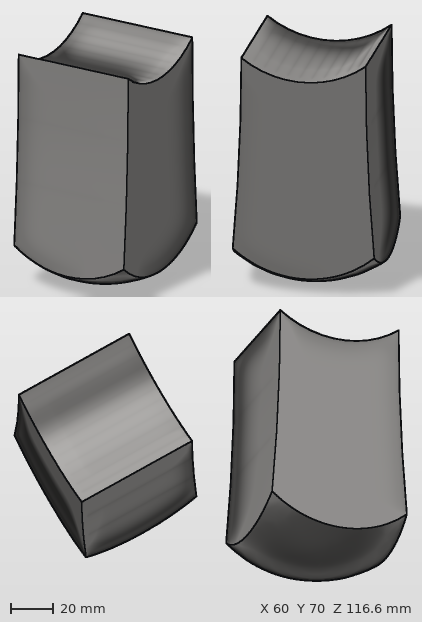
import cadquery as cq
import math

height = 116.6
width = 60.0
base_depth = 70.0
bottom_radius = 60.0
saddle_radius = 49.2

half_top = width / 2
half_base = base_depth / 2

base_edge_z = bottom_radius - math.sqrt(bottom_radius**2 - half_base**2)
flare = half_base - half_top
flare_drop = height - base_edge_z
flare_radius = (flare_drop**2 + flare**2) / (2 * flare)


def flare_offset(z):
    """Y distance from the middle plane to the flared side at height z."""
    return half_top + flare_radius - math.sqrt(flare_radius**2 - (height - z)**2)


def flared_block():
    """Block with curved sides and a flat bottom, extruded along X."""
    mid_z = height / 2
    bottom_y = flare_offset(0)
    mid_y = flare_offset(mid_z)
    return (
        cq.Workplane("YZ")
        .moveTo(-half_top, height)
        .threePointArc((-mid_y, mid_z), (-bottom_y, 0))
        .lineTo(bottom_y, 0)
        .threePointArc((mid_y, mid_z), (half_top, height))
        .close()
        .extrude(half_top, both=True)
    )


def saddle_cutter():
    """Cylinder along X that passes through both top edges."""
    axis_z = height + math.sqrt(saddle_radius**2 - half_top**2)
    return (
        cq.Workplane("YZ")
        .center(0, axis_z)
        .circle(saddle_radius)
        .extrude(width, both=True)
    )


def bottom_envelope():
    """Round-ended column whose lower hemisphere shapes the underside."""
    ball = cq.Workplane("XY").sphere(bottom_radius).translate((0, 0, bottom_radius))
    column = cq.Workplane("XY", origin=(0, 0, bottom_radius)).circle(bottom_radius).extrude(height)
    return ball.union(column)


result = flared_block().cut(saddle_cutter()).intersect(bottom_envelope())